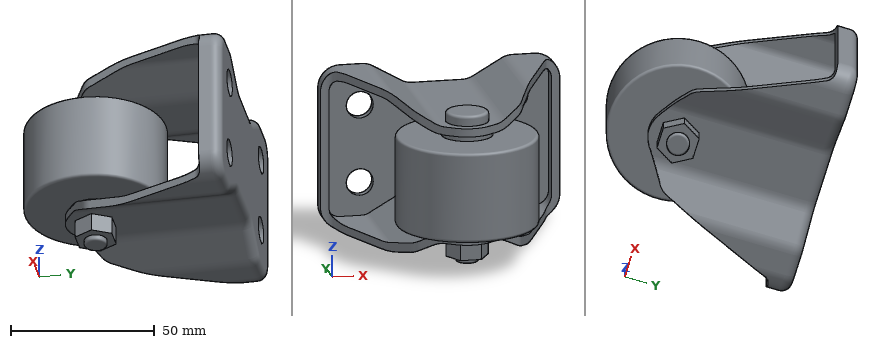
import cadquery as cq
import math


bracket_width = 85.0
bracket_height = 58.0
waist_height = 42.2
waist_half_width = 11.0
flank_angle = 30.0
sheet = 3.0
corner_radius = 8.0
waist_bend_radius = 7.65
plate_bend_radius = 3.6

plate_back = 53.0
flange_depth = 8.0
flange_flat = 1.7
throat_radius = 4.0
arm_lean = 23.2
nose_radius = 10.5
nose_angle = 33.7
arm_corner_radius = 7.05

hole_diameter = 9.5
hole_spacing_x = 54.9
hole_spacing_z = 28.0

wheel_diameter = 50.0
wheel_width = 32.1
wheel_rounding = 1.0
spacer_diameter = 18.0

head_diameter = 15.05
head_top = 24.65
head_rounding = 1.0
nut_corner_diameter = 15.05
nut_bottom = -27.6
bolt_diameter = 8.0
bolt_end = -29.75
bolt_end_rounding = 0.8

half_width = bracket_width / 2
half_height = bracket_height / 2
half_waist = waist_height / 2
flank_run = (half_height - half_waist) / math.tan(math.radians(flank_angle))
shoulder_half_width = waist_half_width + flank_run
flange_end = plate_back - flange_depth
arm_end = -nose_radius
arm_inner_z = half_waist - sheet


def mirrored_x(points):
    """Continue a half outline, listed from left to centre, with its mirror image."""
    return points + [(-x, y) for x, y in reversed(points)]


def bracket_section():
    """Sharp-cornered waisted outline in X and Z, extruded from the plate back towards -Y."""
    upper = mirrored_x(
        [
            (-half_width, half_height),
            (-shoulder_half_width, half_height),
            (-waist_half_width, half_waist),
        ]
    )
    lower = [(x, -z) for x, z in reversed(upper)]
    return (
        cq.Workplane("XZ", origin=(0, plate_back, 0))
        .polyline(upper + lower)
        .close()
        .extrude(plate_back - arm_end)
    )


def round_edges(solid, direction, x, radius):
    """Round the edges running along `direction` that stand at +x and -x."""
    reach = 2 * bracket_width
    margin = sheet / 10
    for side in (x, -x):
        slab = cq.selectors.BoxSelector((side - margin, -reach, -reach), (side + margin, reach, reach))
        solid = solid.edges(direction).edges(slab).fillet(radius)
    return solid


def bracket_shell():
    """Rounded section hollowed to a U-shaped sheet with the mounting plate at its back."""
    body = bracket_section()
    body = round_edges(body, "|Y", half_width, corner_radius)
    body = round_edges(body, "|Y", shoulder_half_width, waist_bend_radius)
    body = round_edges(body, "|Y", waist_half_width, waist_bend_radius)
    cavity = (
        body.faces("<Y").wires().toPending()
        .workplane().offset2D(-sheet)
        .extrude(-(plate_back - arm_end - sheet), combine=False)
    )
    body = body.faces(">Y").edges().fillet(plate_bend_radius)
    return body.cut(cavity)


def arm_profile():
    """Outline in X and Y that trims the sheet to two tapering arms with round noses."""
    lean = math.radians(arm_lean)
    throat_turn = math.pi / 2 - lean
    nose = math.radians(nose_angle)

    throat_start = (-half_width + flange_flat, flange_end)
    throat_centre = (throat_start[0], flange_end - throat_radius)

    def on_throat(angle):
        return (
            throat_centre[0] + throat_radius * math.sin(angle),
            throat_centre[1] + throat_radius * math.cos(angle),
        )

    throat_end = on_throat(throat_turn)
    nose_start = (-nose_radius * math.sin(nose), -nose_radius * math.cos(nose))
    lean_slope = math.tan(lean)
    nose_slope = math.tan(nose)
    corner_x = (
        throat_end[0] + lean_slope * (throat_end[1] - nose_start[1] - nose_slope * nose_start[0])
    ) / (1 - lean_slope * nose_slope)
    corner_y = nose_start[1] - nose_slope * (corner_x - nose_start[0])

    def mirror(point):
        return (-point[0], point[1])

    profile = (
        cq.Workplane("XY", origin=(0, 0, -half_height))
        .moveTo(-half_width, plate_back)
        .lineTo(-half_width, flange_end)
        .lineTo(*throat_start)
        .threePointArc(on_throat(throat_turn / 2), throat_end)
        .lineTo(corner_x, corner_y)
        .lineTo(*nose_start)
        .threePointArc((0, -nose_radius), mirror(nose_start))
        .lineTo(-corner_x, corner_y)
        .lineTo(*mirror(throat_end))
        .threePointArc(mirror(on_throat(throat_turn / 2)), mirror(throat_start))
        .lineTo(half_width, flange_end)
        .lineTo(half_width, plate_back)
        .close()
        .extrude(bracket_height)
    )
    return round_edges(profile, "|Z", corner_x, arm_corner_radius)


def mounting_holes():
    return (
        cq.Workplane("XZ", origin=(0, plate_back, 0))
        .rarray(hole_spacing_x, hole_spacing_z, 2, 2)
        .circle(hole_diameter / 2)
        .extrude(sheet)
    )


def cylinder(diameter, bottom, top):
    return cq.Workplane("XY", origin=(0, 0, bottom)).circle(diameter / 2).extrude(top - bottom)


def wheel():
    tread = cylinder(wheel_diameter, -wheel_width / 2, wheel_width / 2).edges().fillet(wheel_rounding)
    return tread.union(cylinder(spacer_diameter, -arm_inner_z, arm_inner_z))


def bolt_and_nut():
    head = cylinder(head_diameter, arm_inner_z, head_top).faces(">Z").edges().fillet(head_rounding)
    shank = cylinder(bolt_diameter, bolt_end, arm_inner_z).faces("<Z").edges().fillet(bolt_end_rounding)
    nut = (
        cq.Workplane("XY", origin=(0, 0, nut_bottom))
        .polygon(6, nut_corner_diameter)
        .extrude(-half_waist - nut_bottom)
    )
    return shank.union(head).union(nut)


bracket = bracket_shell().intersect(arm_profile()).cut(mounting_holes())
result = bracket.union(wheel()).union(bolt_and_nut())